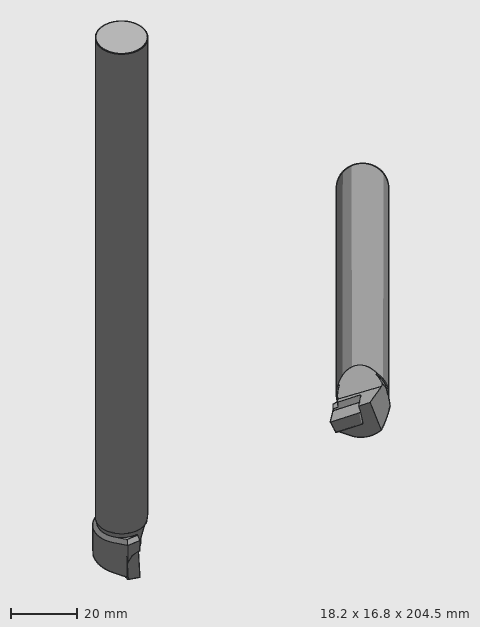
import cadquery as cq
import math

total_length = 204.5
shank_diameter = 16.0
shank_radius = shank_diameter / 2
shank_bottom = 16.8
rear_chamfer = 0.2

neck_radius = 7.5
head_radius = 8.8
head_top = 15.0
head_flare = head_radius - neck_radius
head_right = 9.2
head_right_top = 0.6
facet_angle = -50.0

flat_bottom_y = 1.8
flat_top_y = 2.2
flat_top_z = 12.3
runout_knee_y = 5.0
runout_knee_z = 16.8
runout_top_z = 21.0
runout_mid_y = 3.3
runout_mid_z = (flat_top_z + runout_knee_z) / 2

slant_top_z = 15.7
slant_bottom_x = -3.0
slant_bottom_z = 2.0

underside_right_z = 0.6
underside_clearance = 7.5

insert_tip_x = 10.2
insert_side = 9.6
insert_corner = 80.0
insert_lead = 5.0
insert_thickness = 3.9
insert_clearance = 7.0
insert_tip_radius = 0.5

cut_size = 40.9


def polar(radius, degrees):
    """Point at a radius and angle about the origin."""
    angle = math.radians(degrees)
    return radius * math.cos(angle), radius * math.sin(angle)


def make_insert():
    """Rhombic plate that narrows from its rake face to its seat."""
    lead_end = polar(insert_side, 90 + insert_lead)
    lower_end = polar(insert_side, 90 + insert_lead + insert_corner)
    far_corner = (lead_end[0] + lower_end[0], lead_end[1] + lower_end[1])
    plate = (
        cq.Workplane("XZ")
        .polyline([(0, 0), lead_end, far_corner, lower_end])
        .close()
        .extrude(insert_thickness, taper=insert_clearance)
    )
    plate = plate.edges("not #Y").fillet(insert_tip_radius)
    box = plate.val().BoundingBox()
    return plate.translate((insert_tip_x - box.xmax, 0, -box.zmin))


def make_shank():
    """Round bar with a small rear chamfer and the turned neck below it."""
    bar = (
        cq.Workplane("XY", origin=(0, 0, shank_bottom))
        .circle(shank_radius)
        .extrude(total_length - shank_bottom)
        .faces(">Z")
        .chamfer(rear_chamfer)
    )
    neck = cq.Workplane("XY").circle(neck_radius).extrude(shank_bottom)
    return bar.union(neck)


def make_head():
    """Enlarged head: an arc on the -Y side, a tangent facet and a flat +X side."""
    facet_start = polar(head_radius, facet_angle)
    facet_slope = math.tan(math.radians(facet_angle + 90))
    facet_end_y = facet_start[1] + (head_right - facet_start[0]) * facet_slope
    return (
        cq.Workplane("XY")
        .moveTo(-head_radius, head_right_top)
        .lineTo(-head_radius, 0)
        .threePointArc(polar(head_radius, (facet_angle - 180) / 2), facet_start)
        .lineTo(head_right, facet_end_y)
        .lineTo(head_right, head_right_top)
        .close()
        .extrude(head_top)
        .faces(">Z")
        .edges("not >Y")
        .chamfer(head_flare)
    )


def chip_clearance():
    """Cutter for the +Y flat and its runout into the shank."""
    return (
        cq.Workplane("YZ")
        .moveTo(flat_bottom_y, -cut_size)
        .lineTo(flat_bottom_y, 0)
        .lineTo(flat_top_y, flat_top_z)
        .threePointArc((runout_mid_y, runout_mid_z), (runout_knee_y, runout_knee_z))
        .lineTo(shank_radius, runout_top_z)
        .lineTo(cut_size, runout_top_z)
        .lineTo(cut_size, -cut_size)
        .close()
        .extrude(cut_size, both=True)
    )


def side_slant():
    """Cutter for the slanted -X side of the head."""
    slope = (slant_bottom_x + shank_radius) / (slant_top_z - slant_bottom_z)
    reach = cut_size / 2
    return (
        cq.Workplane("XZ")
        .polyline([
            (-shank_radius - slope * (shank_bottom - slant_top_z), shank_bottom),
            (slant_bottom_x + slope * reach, slant_bottom_z - reach),
            (-cut_size, slant_bottom_z - reach),
            (-cut_size, shank_bottom),
        ])
        .close()
        .extrude(cut_size, both=True)
    )


def underside():
    """Cutter below the head, rising toward -X and toward -Y."""
    slope = (slant_bottom_z - underside_right_z) / (head_right - slant_bottom_x)
    return (
        cq.Workplane("XZ")
        .polyline([
            (-cut_size, underside_right_z + slope * (head_right + cut_size)),
            (cut_size, underside_right_z - slope * (cut_size - head_right)),
            (cut_size, -cut_size),
            (-cut_size, -cut_size),
        ])
        .close()
        .extrude(cut_size, both=True)
        .rotate((0, 0, 0), (1, 0, 0), -underside_clearance)
    )


def insert_pocket(insert):
    """Seat that fits the insert and opens straight to +Y above its rake face."""
    opening = insert.faces(">Y").wires().toPending().workplane().extrude(cut_size, combine=False)
    return insert.union(opening)


insert = make_insert()

holder = make_shank().union(make_head())
holder = holder.cut(chip_clearance())
holder = holder.cut(side_slant())
holder = holder.cut(underside())
holder = holder.cut(insert_pocket(insert))

result = cq.Compound.makeCompound([holder.solids().val(), insert.val()])